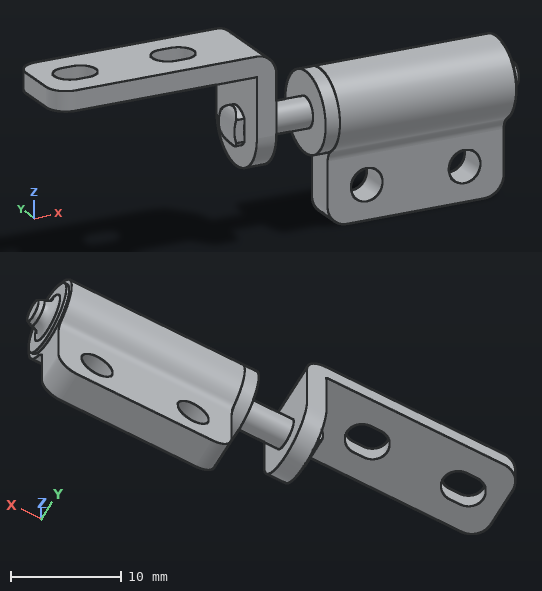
import cadquery as cq
import math


width = 8.0
outer_radius = width / 2
sheet = 2.0
bracket_length = 22.5
bracket_top = 8.0
corner_radius = 2.0
bend_radius = sheet
slot_length = 4.2
slot_width = 3.1
first_slot_x = 4.0
tab_face_x = bracket_length - sheet

hole_spacing = 10.0

flange_left = 27.5
flange_thickness = 1.45
barrel_left = flange_left + flange_thickness
barrel_length = 18.0
barrel_right = barrel_left + barrel_length
plate_thickness = 3.1
plate_bottom = -11.0
blend_radius = 1.5
hole_diameter = 3.2
first_hole_x = 33.0
hole_z = -7.5

sleeve_radius = 3.5
sleeve_overhang = 0.3
sleeve_right = barrel_right + sleeve_overhang

shaft_radius = 1.5
head_radius = 1.9
head_width = 3.05
head_height = 1.02
head_edge_height = 0.65
head_rim_height = 0.4
head_crown_half = 1.55
flare_radius = 1.02
tip_radius = 1.3
tip_end_radius = 1.05
pin_right = 48.8


def x_cylinder(radius, x_start, x_end):
    """Solid cylinder on the pin axis between two X positions."""
    return cq.Workplane("YZ", origin=(x_start, 0, 0)).circle(radius).extrude(x_end - x_start)


def make_bracket():
    arm = (
        cq.Workplane("XY", origin=(0, 0, bracket_top - sheet))
        .rect(bracket_length, width)
        .extrude(sheet)
        .translate((bracket_length / 2, 0, 0))
        .edges("|Z and <X")
        .fillet(corner_radius)
    )
    tab = (
        cq.Workplane("YZ", origin=(tab_face_x, 0, 0))
        .moveTo(-outer_radius, bracket_top)
        .lineTo(-outer_radius, 0)
        .threePointArc((0, -outer_radius), (outer_radius, 0))
        .lineTo(outer_radius, bracket_top)
        .close()
        .extrude(sheet)
    )
    bracket = arm.union(tab).edges("|Y and >X and >Z").fillet(bend_radius)
    slots = (
        cq.Workplane("XY", origin=(0, 0, bracket_top - sheet))
        .pushPoints([(first_slot_x, 0), (first_slot_x + hole_spacing, 0)])
        .slot2D(slot_length, slot_width)
        .extrude(sheet)
    )
    pin_hole = x_cylinder(shaft_radius, tab_face_x, bracket_length)
    return bracket.cut(slots).cut(pin_hole)


def make_mounting_plate():
    plate = (
        cq.Workplane("XZ", origin=(0, plate_thickness / 2, 0))
        .moveTo(barrel_left, 0)
        .lineTo(barrel_right, 0)
        .lineTo(barrel_right, plate_bottom)
        .lineTo(barrel_left, plate_bottom)
        .close()
        .extrude(plate_thickness)
        .edges("|Y and <Z")
        .fillet(corner_radius)
    )
    holes = (
        cq.Workplane("XZ", origin=(0, plate_thickness / 2, 0))
        .pushPoints([(first_hole_x, hole_z), (first_hole_x + hole_spacing, hole_z)])
        .circle(hole_diameter / 2)
        .extrude(plate_thickness)
    )
    return plate.cut(holes)


def make_plate_blend():
    """Concave fillets where the plate meets the barrel on both sides."""
    blend_y = plate_thickness / 2 + blend_radius
    blend_z = -math.sqrt((outer_radius + blend_radius) ** 2 - blend_y**2)
    barrel_share = outer_radius / (outer_radius + blend_radius)
    neck = (
        cq.Workplane("YZ", origin=(barrel_left, 0, 0))
        .moveTo(-blend_y * barrel_share, blend_z * barrel_share)
        .lineTo(-plate_thickness / 2, blend_z)
        .lineTo(plate_thickness / 2, blend_z)
        .lineTo(blend_y * barrel_share, blend_z * barrel_share)
        .close()
        .extrude(barrel_length)
    )
    reliefs = (
        cq.Workplane("YZ", origin=(barrel_left, 0, 0))
        .pushPoints([(-blend_y, blend_z), (blend_y, blend_z)])
        .circle(blend_radius)
        .extrude(barrel_length)
    )
    return neck.cut(reliefs)


def make_housing():
    barrel = x_cylinder(outer_radius, barrel_left, barrel_right)
    bore = x_cylinder(sleeve_radius, barrel_left, barrel_right)
    return barrel.union(make_mounting_plate()).union(make_plate_blend()).cut(bore)


def make_bushing():
    flange = x_cylinder(outer_radius, flange_left, barrel_left)
    sleeve = x_cylinder(sleeve_radius, barrel_left, sleeve_right)
    bore = x_cylinder(shaft_radius, flange_left, sleeve_right)
    return flange.union(sleeve).cut(bore)


def make_pin_head():
    """Crowned head with two flat sides and round ends."""
    crown_x = tab_face_x - head_height
    edge_x = tab_face_x - head_edge_height
    rim_x = tab_face_x - head_rim_height
    crown = (
        cq.Workplane("XZ", origin=(0, head_width / 2, 0))
        .moveTo(tab_face_x, -head_radius)
        .lineTo(rim_x, -head_radius)
        .lineTo(edge_x, -head_crown_half)
        .threePointArc((crown_x, 0), (edge_x, head_crown_half))
        .lineTo(rim_x, head_radius)
        .lineTo(tab_face_x, head_radius)
        .close()
        .extrude(head_width)
    )
    return crown.intersect(x_cylinder(head_radius, crown_x, tab_face_x))


def make_pin():
    flare_right = sleeve_right + flare_radius
    flare_offset = flare_radius * (1 - math.sqrt(0.5))
    flare_middle = (sleeve_right + flare_offset, tip_radius + flare_offset)
    turned_part = (
        cq.Workplane("XZ")
        .moveTo(tab_face_x, 0)
        .lineTo(tab_face_x, shaft_radius)
        .lineTo(sleeve_right, shaft_radius)
        .lineTo(sleeve_right, tip_radius + flare_radius)
        .threePointArc(flare_middle, (flare_right, tip_radius))
        .lineTo(pin_right, tip_end_radius)
        .lineTo(pin_right, 0)
        .close()
        .revolve(360, (0, 0, 0), (1, 0, 0))
    )
    return turned_part.union(make_pin_head())


bracket = make_bracket()
housing = make_housing()
bushing = make_bushing()
pin = make_pin()

result = cq.Compound.makeCompound([bracket.val(), housing.val(), bushing.val(), pin.val()])